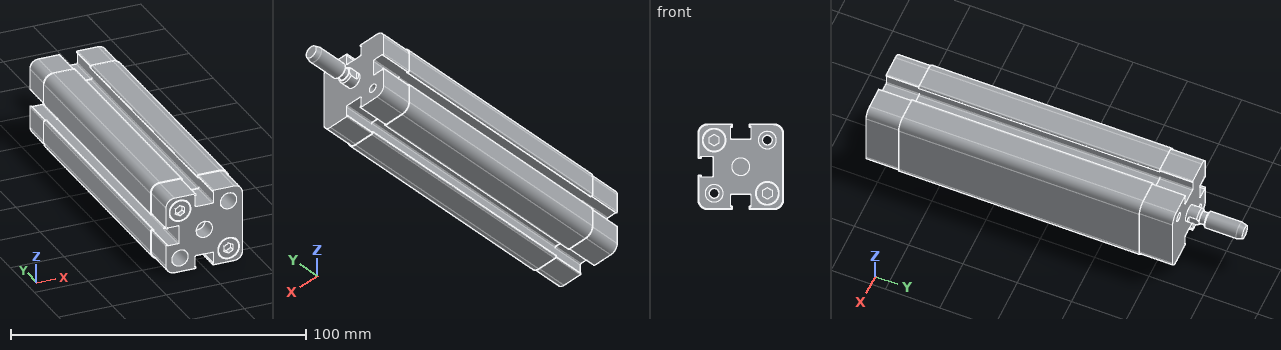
import cadquery as cq
import math

total_length = 133.5
rod_length = 20.5
cap_length = 12.1
body_length = total_length - rod_length - 2 * cap_length

body_width = 29.1
cap_inset = 0.33
cap_width = body_width - 2 * cap_inset
body_corner_radius = 3.5
cap_corner_radius = body_corner_radius - cap_inset

slot_width = 6.8
cap_slot_floor = 9.3
body_slot_floor = 9.1
slot_floor_radius = 0.4
body_lip_radius = 0.7
cap_lip_radius = body_lip_radius - cap_inset

hole_pitch = 18.0
mount_bore_diameter = 6.0
mount_bore_depth = cap_length
through_hole_diameter = 3.2
center_bore_diameter = 6.0
center_bore_depth = 6.0
screw_recess_diameter = 8.0
screw_head_diameter = 7.5
screw_recess_depth = 4.0
socket_across_flats = 3.3
socket_depth = 2.0

rod_diameter = 6.0
neck_diameter = 4.4
tip_diameter = 4.8
tip_chamfer_length = 2.0
thread_length = 13.9
thread_end_chamfer = 0.4
neck_length = 2.0
shoulder_chamfer = 0.4
shoulder_chamfer_length = 0.8
flat_across = 5.1
flat_gap = 0.7

front_face = -total_length / 2
body_start = front_face + cap_length
body_end = body_start + body_length
rod_start = body_end + cap_length
rod_tip = total_length / 2


def plane_at(y):
    """XZ work plane at station y, with extrusion toward +Y."""
    return cq.Workplane(cq.Plane(origin=(0, y, 0), xDir=(1, 0, 0), normal=(0, -1, 0)))


def square_bar(start, length, width, corner_radius):
    bar = plane_at(start).rect(width, width).extrude(-length)
    return bar.edges("|Y").fillet(corner_radius)


def cylinder(start, length, diameter, points):
    return plane_at(start).pushPoints(points).circle(diameter / 2).extrude(-length)


def cut_slots(bar, slot):
    """Cut the slot, drawn on the +Z side, into the +Z, -X and -Z faces."""
    for angle in (0, -90, 180):
        bar = bar.cut(slot.rotate((0, 0, 0), (0, 1, 0), angle))
    return bar


def slot_cutter(start, length, bar_width, floor, lip_radius):
    """Slot on the +Z side, narrowed at its mouth by two full-round lips."""
    wall = slot_width / 2
    lip_tip = wall - lip_radius
    surface = bar_width / 2
    lip_middle = surface - lip_radius
    lip_bottom = surface - 2 * lip_radius
    outline = (
        plane_at(start)
        .moveTo(-wall, floor)
        .lineTo(wall, floor)
        .lineTo(wall, lip_bottom)
        .threePointArc((lip_tip, lip_middle), (wall, surface))
        .lineTo(-wall, surface)
        .threePointArc((-lip_tip, lip_middle), (-wall, lip_bottom))
        .close()
    )
    slot = outline.extrude(-length)
    return slot.faces("<Z").edges("|Y").fillet(slot_floor_radius)


def cap(start):
    bar = square_bar(start, cap_length, cap_width, cap_corner_radius)
    slot = slot_cutter(start, cap_length, cap_width, cap_slot_floor, cap_lip_radius)
    return cut_slots(bar, slot)


def body():
    bar = square_bar(body_start, body_length, body_width, body_corner_radius)
    slot = slot_cutter(body_start, body_length, body_width, body_slot_floor, body_lip_radius)
    return cut_slots(bar, slot)


def piston_rod():
    """Turned rod with a threaded end, an undercut neck and two wrench flats."""
    radius = rod_diameter / 2
    neck = neck_diameter / 2
    thread_end = rod_tip - thread_length
    shoulder = thread_end - neck_length
    profile = [
        (0, rod_start),
        (radius, rod_start),
        (radius, shoulder - shoulder_chamfer_length),
        (radius - shoulder_chamfer, shoulder),
        (neck, shoulder),
        (neck, thread_end),
        (radius - thread_end_chamfer, thread_end),
        (radius, thread_end + thread_end_chamfer),
        (radius, rod_tip - tip_chamfer_length),
        (tip_diameter / 2, rod_tip),
        (0, rod_tip),
    ]
    rod = cq.Workplane("XY").polyline(profile).close().revolve(360, (0, 0, 0), (0, 1, 0))

    flat_x = flat_across / 2
    runout = radius - flat_x
    flat_end = rod_start + flat_gap
    flat_profile = [
        (flat_x, shoulder),
        (flat_x, flat_end + runout),
        (radius, flat_end),
        (radius, shoulder),
    ]
    flat_cutter = cq.Workplane("XY").polyline(flat_profile).close().extrude(radius, both=True)
    rod = rod.cut(flat_cutter).cut(flat_cutter.mirror("YZ"))
    return rod


half_pitch = hole_pitch / 2
mount_points = [(half_pitch, half_pitch), (-half_pitch, -half_pitch)]
screw_points = [(-half_pitch, half_pitch), (half_pitch, -half_pitch)]

result = body().union(cap(front_face)).union(cap(body_end)).union(piston_rod())

result = result.cut(cylinder(front_face, mount_bore_depth, mount_bore_diameter, mount_points))
result = result.cut(cylinder(front_face, total_length, through_hole_diameter, mount_points))

result = result.cut(cylinder(front_face, center_bore_depth, center_bore_diameter, [(0, 0)]))

ring = cylinder(front_face, screw_recess_depth, screw_recess_diameter, screw_points).cut(
    cylinder(front_face, screw_recess_depth, screw_head_diameter, screw_points)
)
result = result.cut(ring)

socket_radius = socket_across_flats / math.sqrt(3)
first_corner = 30
corner_angles = [math.radians(first_corner + 60 * i) for i in range(6)]
for screw_x, screw_z in screw_points:
    corners = [
        (screw_x + socket_radius * math.cos(a), screw_z + socket_radius * math.sin(a))
        for a in corner_angles
    ]
    result = result.cut(plane_at(front_face).polyline(corners).close().extrude(-socket_depth))